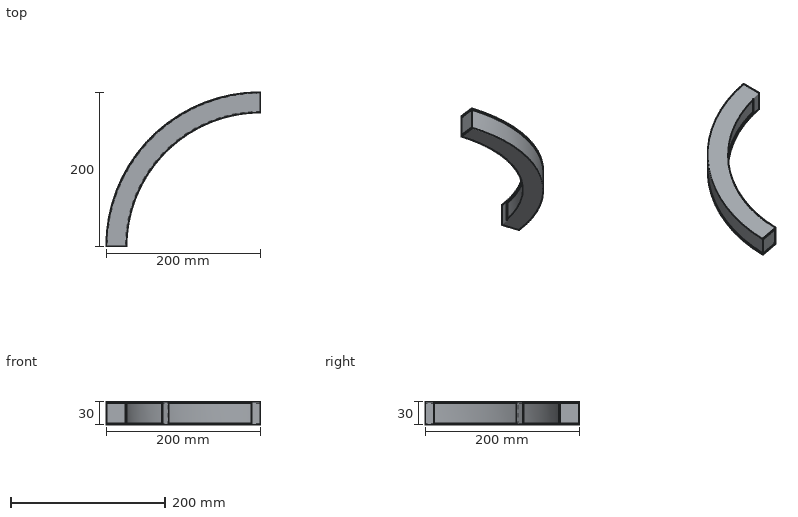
import cadquery as cq
import math

outer_radius = 200.0
inner_radius = 173.5
height = 30.0
quarter_turn = 90.0

outer_wall = 1.0
inner_wall = 2.0
plate_thickness = 2.0
edge_fillet = 0.8

window_count = 2
post_angle = 3.8
window_angle = (quarter_turn - (window_count + 1) * post_angle) / window_count

core_outer_radius = outer_radius - outer_wall
core_inner_radius = inner_radius + inner_wall
core_height = height - 2 * plate_thickness


def ring_point(radius, angle):
    """Point on the ring, with the angle measured from its -Y end."""
    turn = math.radians(angle)
    return (outer_radius - radius * math.cos(turn), radius * math.sin(turn))


def ring_sector(large_radius, small_radius, sector_height, start, sweep):
    """Arc-shaped block of rectangular section, centred on Z = 0."""
    middle = start + sweep / 2
    end = start + sweep
    return (
        cq.Workplane("XY")
        .workplane(offset=-sector_height / 2)
        .moveTo(*ring_point(small_radius, start))
        .lineTo(*ring_point(large_radius, start))
        .threePointArc(ring_point(large_radius, middle), ring_point(large_radius, end))
        .lineTo(*ring_point(small_radius, end))
        .threePointArc(ring_point(small_radius, middle), ring_point(small_radius, start))
        .close()
        .extrude(sector_height)
    )


def make_core():
    """Solid curved bar that fills the housing from end to end."""
    return ring_sector(core_outer_radius, core_inner_radius, core_height, 0, quarter_turn)


def make_housing(core):
    """Curved tube with rounded long edges and windows in its inner wall."""
    housing = ring_sector(outer_radius, inner_radius, height, 0, quarter_turn)
    housing = housing.faces("<Z or >Z").edges("%CIRCLE").fillet(edge_fillet)
    housing = housing.cut(core)
    for index in range(window_count):
        start = post_angle + index * (window_angle + post_angle)
        window = ring_sector(
            core_inner_radius + inner_wall, inner_radius - inner_wall, core_height, start, window_angle
        )
        housing = housing.cut(window)
    return housing


core = make_core()
housing = make_housing(core)

result = cq.Compound.makeCompound([housing.val(), core.val()])